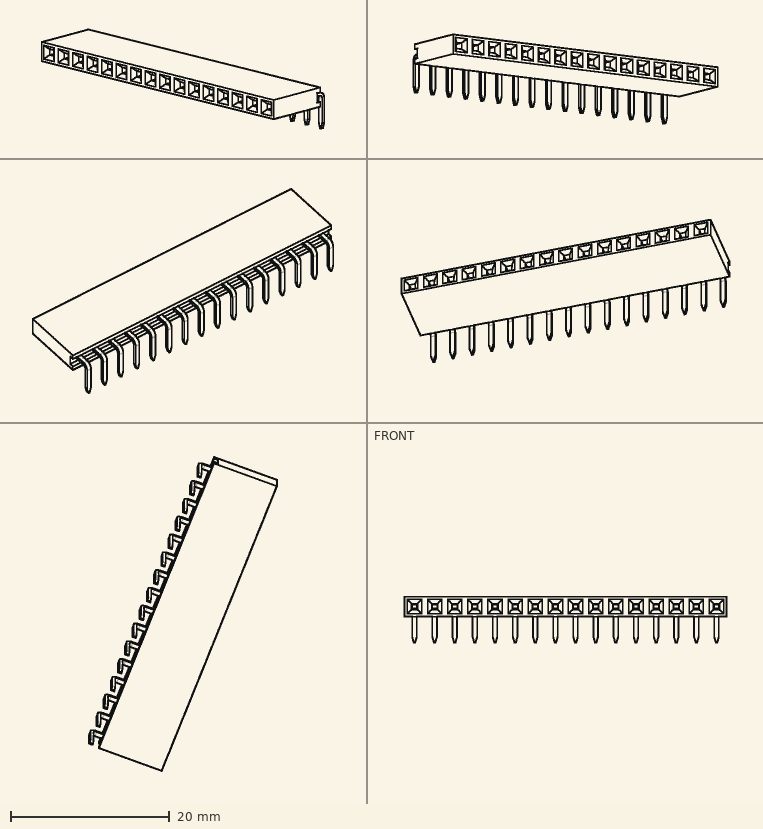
import cadquery as cq
import math


contact_count = 16
housing_length = 40.65
pitch = housing_length / contact_count
housing_depth = 8.5
housing_height = 2.5
rear_groove_depth = 0.55
rear_groove_height = 1.25

lead_in_mouth = 1.8
bore_width = 0.77
lead_in_depth = (lead_in_mouth - bore_width) / 2
bore_depth = 3.25
slot_depth = 0.8
slot_width = 0.6
slot_height = 0.5

overall_depth = 10.2
overall_height = 5.85
pin_width = 0.6
pin_thickness = 0.4
bend_outer_radius = 0.77
bend_inner_radius = bend_outer_radius - pin_thickness
pin_back = overall_depth
pin_bottom = housing_height / 2 - overall_height
tip_length = 0.77
tip_width = 0.15


def box_between(x_size, z_size, y_start, y_end):
    """Box centred on X and Z that runs from y_start to y_end."""
    middle = (y_start + y_end) / 2
    return cq.Workplane("XY").box(x_size, y_end - y_start, z_size).translate((0, middle, 0))


def make_housing():
    """Plain bar with a groove along the whole rear face."""
    bar = box_between(housing_length, housing_height, 0, housing_depth)
    groove_floor = housing_depth - rear_groove_depth
    return bar.cut(box_between(housing_length, rear_groove_height, groove_floor, housing_depth))


def make_socket():
    """Cavity for one contact, centred on X = 0."""
    lead_in = (
        cq.Workplane("XZ")
        .rect(lead_in_mouth, lead_in_mouth)
        .workplane(offset=-lead_in_depth)
        .rect(bore_width, bore_width)
        .loft(ruled=True)
    )
    bore = box_between(bore_width, bore_width, 0, bore_depth)
    slot_radius = slot_width / 2
    slot_straight_end = bore_depth + slot_depth - slot_radius
    slot = box_between(slot_width, slot_height, bore_depth, slot_straight_end)
    slot_end = (
        cq.Workplane("XY", origin=(0, slot_straight_end, -slot_height / 2))
        .circle(slot_radius)
        .extrude(slot_height)
    )
    return lead_in.union(bore).union(slot).union(slot_end)


def make_pin():
    """Flat pin centred on X = 0, bent down behind the housing and narrowed at its tip."""
    root = housing_depth - rear_groove_depth
    top = pin_thickness / 2
    bend_y = pin_back - bend_outer_radius
    bend_z = top - bend_outer_radius
    diagonal = math.sqrt(0.5)
    outer_middle = (bend_y + bend_outer_radius * diagonal, bend_z + bend_outer_radius * diagonal)
    inner_middle = (bend_y + bend_inner_radius * diagonal, bend_z + bend_inner_radius * diagonal)
    strip = (
        cq.Workplane("YZ")
        .moveTo(root, top)
        .lineTo(bend_y, top)
        .threePointArc(outer_middle, (pin_back, bend_z))
        .lineTo(pin_back, pin_bottom)
        .lineTo(pin_back - pin_thickness, pin_bottom)
        .lineTo(pin_back - pin_thickness, bend_z)
        .threePointArc(inner_middle, (bend_y, top - pin_thickness))
        .lineTo(root, top - pin_thickness)
        .close()
        .extrude(pin_width / 2, both=True)
    )
    tip_start = pin_bottom + tip_length
    front_outline = (
        cq.Workplane("XZ", origin=(0, root, 0))
        .moveTo(-pin_width / 2, top)
        .lineTo(-pin_width / 2, tip_start)
        .lineTo(-tip_width / 2, pin_bottom)
        .lineTo(tip_width / 2, pin_bottom)
        .lineTo(pin_width / 2, tip_start)
        .lineTo(pin_width / 2, top)
        .close()
        .extrude(root - pin_back)
    )
    return strip.intersect(front_outline)


housing = make_housing()
socket = make_socket()
pin = make_pin()
for index in range(contact_count):
    contact_position = ((index - (contact_count - 1) / 2) * pitch, 0, 0)
    housing = housing.cut(socket.translate(contact_position))
    housing = housing.union(pin.translate(contact_position))

result = housing